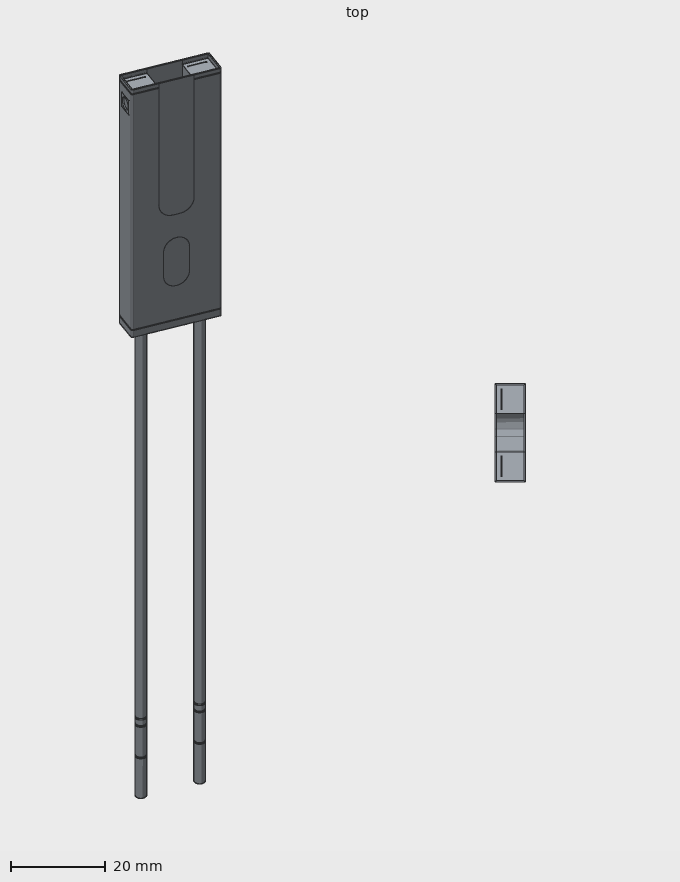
import cadquery as cq

TOTAL_HEIGHT = 181.3
HOUSING_WIDTH = 6.5
HOUSING_DEPTH = 20.9
HOUSING_HEIGHT = 62.5
HOUSING_BOTTOM = TOTAL_HEIGHT - HOUSING_HEIGHT
HOUSING_CORNER_RADIUS = 0.4

RIM_WALL = 0.4
RIM_HEIGHT = 1.0

SCRIBE_WIDTH = 0.2
SCRIBE_DEPTH = 0.09
SCRIBE_HEIGHTS = (HOUSING_BOTTOM + 1.8, TOTAL_HEIGHT - RIM_HEIGHT)

SLOT_WIDTH = 8.2
SLOT_HEIGHT = 34.1
SLOT_CORNER_RADIUS = 3.3

TOP_GROOVE_LENGTH = 4.4
TOP_GROOVE_WIDTH = 0.2
TOP_GROOVE_DEPTH = 0.5
TOP_GROOVE_X = -1.8
TOP_GROOVE_Y = (SLOT_WIDTH + HOUSING_DEPTH - 2 * RIM_WALL) / 4

PLUG_LENGTH = 12.1
PLUG_WIDTH = 6.0
PLUG_Z = TOTAL_HEIGHT - 46.0

LAMP_SIZE = 3.6
LAMP_DEPTH = 1.8
LAMP_Z = TOTAL_HEIGHT - 5.3
LAMP_RECESS_DIAMETER = 2.9
LAMP_RECESS_DEPTH = 0.4

WIRE_DIAMETER = 2.5
WIRE_SPACING = 13.6
WIRE_GROOVE_HEIGHTS = (10.3, 18.3, 20.1)
WIRE_GROOVE_WIDTH = 0.4
WIRE_GROOVE_DEPTH = 0.09
WIRE_END_CHAMFER = 0.2


def box(size_x, size_y, size_z, center_x, center_y, bottom_z):
    """Box centred in X and Y that stands on bottom_z."""
    return (
        cq.Workplane("XY", origin=(center_x, center_y, bottom_z))
        .box(size_x, size_y, size_z, centered=(True, True, False))
    )


def slot_block(thickness, center_x):
    """Block with the outline of the slot, rounded at its lower corners."""
    block = box(thickness, SLOT_WIDTH, SLOT_HEIGHT, center_x, 0, TOTAL_HEIGHT - SLOT_HEIGHT)
    return block.edges("|X and <Z").fillet(SLOT_CORNER_RADIUS)


def make_plug():
    return (
        cq.Workplane("YZ", origin=(0, 0, PLUG_Z))
        .slot2D(PLUG_LENGTH, PLUG_WIDTH, 90)
        .extrude(HOUSING_WIDTH / 2, both=True)
    )


def lamp_block():
    """Plain square block that fills the lamp pocket."""
    center_y = (LAMP_DEPTH - HOUSING_DEPTH) / 2
    return box(LAMP_SIZE, LAMP_DEPTH, LAMP_SIZE, 0, center_y, LAMP_Z - LAMP_SIZE / 2)


def make_lamp():
    recess = (
        cq.Workplane("XZ", origin=(0, -HOUSING_DEPTH / 2, LAMP_Z))
        .circle(LAMP_RECESS_DIAMETER / 2)
        .extrude(-LAMP_RECESS_DEPTH)
    )
    return lamp_block().cut(recess)


def rounded_block(inset, height, bottom_z):
    """Block with the housing outline, moved inwards by inset."""
    block = box(HOUSING_WIDTH - 2 * inset, HOUSING_DEPTH - 2 * inset, height, 0, 0, bottom_z)
    return block.edges("|Z").fillet(HOUSING_CORNER_RADIUS - inset)


def scribe_ring(center_z):
    """Thin ring that cuts one scribed line around the housing."""
    bottom_z = center_z - SCRIBE_WIDTH / 2
    core = rounded_block(SCRIBE_DEPTH, SCRIBE_WIDTH, bottom_z)
    return rounded_block(0, SCRIBE_WIDTH, bottom_z).cut(core)


def make_housing():
    body = rounded_block(0, HOUSING_HEIGHT, HOUSING_BOTTOM)
    for scribe_z in SCRIBE_HEIGHTS:
        body = body.cut(scribe_ring(scribe_z))

    floor_z = TOTAL_HEIGHT - RIM_HEIGHT
    inner_width = HOUSING_WIDTH - 2 * RIM_WALL
    inner_depth = HOUSING_DEPTH - 2 * RIM_WALL
    body = body.cut(box(inner_width, inner_depth, RIM_HEIGHT, 0, 0, floor_z))

    for side in (-1, 1):
        groove = box(
            TOP_GROOVE_WIDTH, TOP_GROOVE_LENGTH, TOP_GROOVE_DEPTH,
            TOP_GROOVE_X, side * TOP_GROOVE_Y, floor_z - TOP_GROOVE_DEPTH,
        )
        body = body.cut(groove)

    body = body.cut(slot_block(HOUSING_WIDTH, 0))
    return body.cut(make_plug()).cut(lamp_block())


def make_window(side):
    """Thin window flush with one broad side of the housing (side is -1 or 1 along X)."""
    return slot_block(RIM_WALL, side * (HOUSING_WIDTH - RIM_WALL) / 2)


def make_wire(side):
    """Wire that ends flush against the bottom of the housing (side is -1 or 1 along Y)."""
    radius = WIRE_DIAMETER / 2
    wire = cq.Workplane("XY").circle(radius).extrude(HOUSING_BOTTOM)
    wire = wire.faces("<Z").chamfer(WIRE_END_CHAMFER)
    for groove_z in WIRE_GROOVE_HEIGHTS:
        ring = (
            cq.Workplane("XY", origin=(0, 0, groove_z - WIRE_GROOVE_WIDTH / 2))
            .circle(radius)
            .circle(radius - WIRE_GROOVE_DEPTH)
            .extrude(WIRE_GROOVE_WIDTH)
        )
        wire = wire.cut(ring)
    return wire.translate((0, side * WIRE_SPACING / 2, 0))


housing = make_housing()
plug = make_plug()
lamp = make_lamp()
windows = [make_window(side).val() for side in (-1, 1)]
wires = [make_wire(side).val() for side in (-1, 1)]

result = cq.Compound.makeCompound([housing.val(), plug.val(), lamp.val(), *windows, *wires])